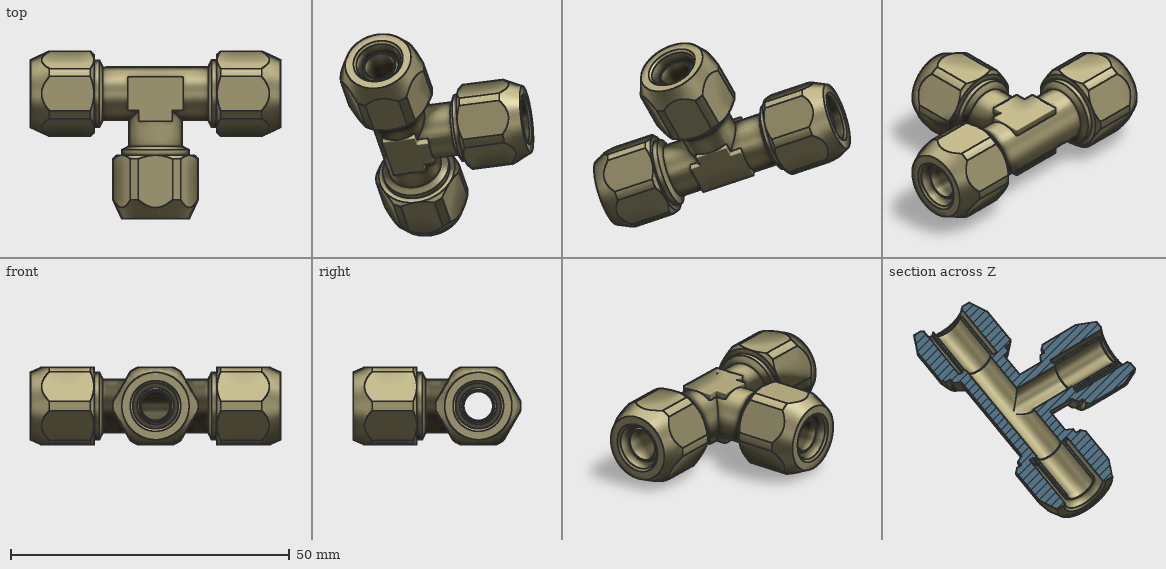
import cadquery as cq
import math

port_reach = 22.5

across_flats = 14.0
nut_corner_radius = 7.65
nut_length = 11.45
mouth_radius = 6.05
nose_angle = 25.0
back_chamfer = 0.67

collar_radius = 6.05
collar_length = 1.6
collar_chamfer_length = 0.65

pipe_radius = 4.8
bore_radius = 2.6
socket_radius = 4.1
socket_mouth_radius = 4.55
socket_chamfer_depth = 0.4

sleeve_radius = 3.3
sleeve_bore_radius = 2.8
sleeve_tip_radius = 2.95
sleeve_tip_length = 0.3
sleeve_recess = 1.5

pad_half_width = 3.0
pad_reach = 5.0
pad_height = 5.0
pad_edge_radius = 0.2

nut_back = port_reach - nut_length
socket_floor = nut_back
sleeve_tip = port_reach - sleeve_recess


def revolve_about_port_axis(points):
    """Turn a closed (radius, distance from tee centre) outline about Z."""
    return cq.Workplane("XZ").polyline(points).close().revolve(360, (0, 0), (0, 1))


def make_nut():
    nose_length = (nut_corner_radius - mouth_radius) / math.tan(math.radians(nose_angle))
    hexagon = (
        cq.Workplane("XY", origin=(0, 0, nut_back))
        .polygon(6, across_flats, circumscribed=True)
        .extrude(nut_length)
        .rotate((0, 0, 0), (0, 0, 1), 30)
    )
    turned_blank = revolve_about_port_axis([
        (0, nut_back),
        (nut_corner_radius - back_chamfer, nut_back),
        (nut_corner_radius, nut_back + back_chamfer),
        (nut_corner_radius, port_reach - nose_length),
        (mouth_radius, port_reach),
        (0, port_reach),
    ])
    return hexagon.intersect(turned_blank)


def make_pipe_and_collar():
    collar_start = nut_back - collar_length
    return revolve_about_port_axis([
        (0, 0),
        (pipe_radius, 0),
        (pipe_radius, collar_start),
        (collar_radius, collar_start + collar_chamfer_length),
        (collar_radius, nut_back),
        (0, nut_back),
    ])


def make_socket():
    """Annular space between the nut bore and the support sleeve, open at the mouth."""
    return revolve_about_port_axis([
        (sleeve_bore_radius, sleeve_tip),
        (sleeve_tip_radius, sleeve_tip),
        (sleeve_radius, sleeve_tip - sleeve_tip_length),
        (sleeve_radius, socket_floor),
        (socket_radius, socket_floor),
        (socket_radius, port_reach - socket_chamfer_depth),
        (socket_mouth_radius, port_reach),
        (0, port_reach),
        (0, socket_floor),
        (sleeve_bore_radius, socket_floor),
    ])


def make_bore():
    return cq.Workplane("XY").circle(bore_radius).extrude(port_reach)


def place_on_ports(shape):
    """Copy a shape built along +Z onto the -Y branch and both ends of the run."""
    branch = shape.rotate((0, 0, 0), (1, 0, 0), 90)
    left = branch.rotate((0, 0, 0), (0, 0, 1), -90)
    right = branch.rotate((0, 0, 0), (0, 0, 1), 90)
    return left.union(right).union(branch)


def make_pads():
    """One T-shaped block whose top and bottom faces stand proud of the pipes."""
    outline = [
        (-pad_reach, pad_half_width),
        (pad_reach, pad_half_width),
        (pad_reach, -pad_half_width),
        (pad_half_width, -pad_half_width),
        (pad_half_width, -pad_reach),
        (-pad_half_width, -pad_reach),
        (-pad_half_width, -pad_half_width),
        (-pad_reach, -pad_half_width),
    ]
    block = (
        cq.Workplane("XY", origin=(0, 0, -pad_height))
        .polyline(outline)
        .close()
        .extrude(2 * pad_height)
    )
    return block.edges().fillet(pad_edge_radius)


body = place_on_ports(make_pipe_and_collar().union(make_nut()))
body = body.union(make_pads())
body = body.cut(place_on_ports(make_bore()))
result = body.cut(place_on_ports(make_socket()))